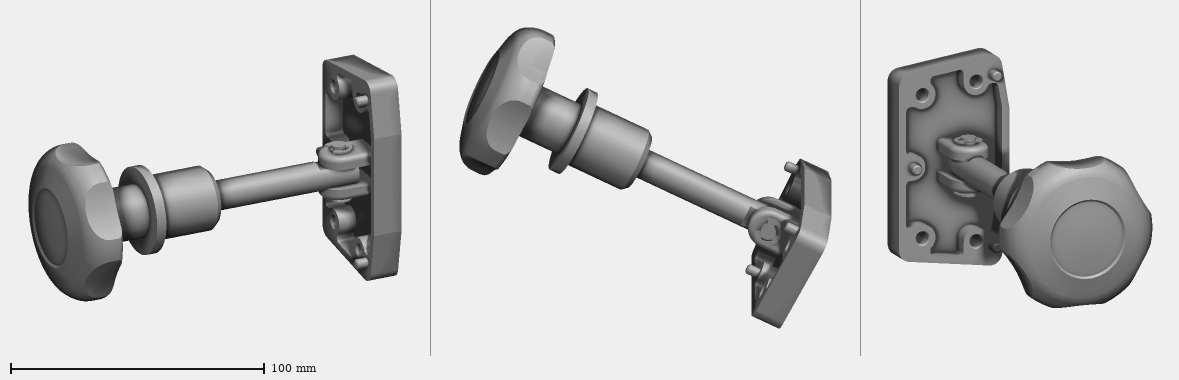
import cadquery as cq
import math


plate_thickness = 12.0
plate_left = -27.0
plate_right = 20.0
left_corner_z = 37.5
upper_corner_x = 16.1
upper_corner_z = 43.5
right_edge_half_height = 20.9
plate_corner_radius = 5.0

pocket_depth = 7.5
rim_width = 3.0
pocket_corner_radius = 1.7
left_land_z = 24.8
left_land_x = -13.6
right_land_z = 31.3

left_hole = (-17.0, 29.1)
right_hole = (6.0, 32.5)
hole_diameter = 5.2
hole_chamfer = 0.5
left_boss_radius = 5.5
right_boss_radius = 5.4

middle_stud = (-21.0, 0)
right_stud_x = 13.0
right_stud_z = 35.0
stud_diameter = 4.0
stud_length = 5.0
stud_chamfer = 0.6
stud_boss_radius = 5.2

pivot_y = -18.1
lug_radius = 8.0
lug_inner_z = 4.2
lug_outer_z = 9.3
lug_fillet = 2.0

pin_radius = 6.2 / 2
pin_top = 12.2
pin_bottom = -11.7
neck_radius = 2.3
clip_thickness = 0.6
clip_z = 10.6
clip_outer_radius = 5.7
clip_inner_radius = 4.2
clip_tab_width = 2.8
clip_side_tab_angle = 48
clip_turns = {clip_z: 0, -clip_z: 20}

rod_radius = 12.0 / 2
rod_end_y = -11.6
rod_flat_end_y = -28.1
shaft_radius = 10.9
collar_radius = 13.0
collar_y = -125.0
knob_back_y = -126.9
knob_radius = 31.5
knob_back_fillet = 2.6
knob_rim_end_y = -132.5
knob_shoulder_radius = 10.0
crown_radius = 24.6
recess_radius = 16.1
recess_rim_y = -144.5
dome_radius = 15.2
dome_edge_y = -143.8
knob_front_y = -145.0
scallop_count = 6
scallop_radius = 46.4
scallop_floor = 27.8

sleeve_radius = 13.0
sleeve_start_y = -74.8
sleeve_chamfer_length = 2.3
sleeve_chamfer_depth = 1.9
flange_radius = 35.5 / 2
flange_start_y = -102.1
washer_start_y = -104.3
washer_end_y = -106.1


def facing_front(y):
    """Workplane at depth y whose extrusions run towards -Y."""
    return cq.Workplane("XZ", origin=(0, y, 0))


def disc(point, radius, start_y, length):
    return facing_front(start_y).center(*point).circle(radius).extrude(length)


def block(x_range, z_range, start_y, length):
    width = x_range[1] - x_range[0]
    height = z_range[1] - z_range[0]
    return (
        facing_front(start_y)
        .center(sum(x_range) / 2, sum(z_range) / 2)
        .rect(width, height)
        .extrude(length)
    )


def mirrored_about_z(body):
    return body.union(body.mirror("XY"))


def make_plate_outline(start_y):
    return (
        facing_front(start_y)
        .polyline([
            (plate_left, -left_corner_z),
            (upper_corner_x, -upper_corner_z),
            (plate_right, -right_edge_half_height),
            (plate_right, right_edge_half_height),
            (upper_corner_x, upper_corner_z),
            (plate_left, left_corner_z),
        ])
        .close()
    )


def make_pocket():
    floor_y = pocket_depth - plate_thickness
    pocket = make_plate_outline(floor_y).offset2D(-rim_width).extrude(pocket_depth)

    left_limit = (plate_left, left_hole[0])
    lands = [
        disc(left_hole, left_boss_radius, floor_y, pocket_depth),
        block(left_limit, (left_land_z, upper_corner_z), floor_y, pocket_depth),
        block((plate_left, left_land_x), (left_hole[1], upper_corner_z), floor_y, pocket_depth),
        disc(right_hole, right_boss_radius, floor_y, pocket_depth),
        block((right_hole[0] - right_boss_radius, plate_right), (right_hole[1], upper_corner_z),
              floor_y, pocket_depth),
        block((right_hole[0], plate_right), (right_land_z, upper_corner_z), floor_y, pocket_depth),
    ]
    for land in lands:
        pocket = pocket.cut(mirrored_about_z(land))

    stud_land = disc(middle_stud, stud_boss_radius, floor_y, pocket_depth)
    stud_land = stud_land.union(block(
        (plate_left, middle_stud[0]), (-stud_boss_radius, stud_boss_radius), floor_y, pocket_depth))
    return pocket.cut(stud_land).edges("|Y").fillet(pocket_corner_radius)


def make_lug():
    """Upper clevis lug, from the pocket floor to its rounded end."""
    floor_y = pocket_depth - plate_thickness
    return (
        cq.Workplane("XY", origin=(0, 0, lug_inner_z))
        .moveTo(-lug_radius, floor_y)
        .lineTo(-lug_radius, pivot_y)
        .threePointArc((0, pivot_y - lug_radius), (lug_radius, pivot_y))
        .lineTo(lug_radius, floor_y)
        .close()
        .extrude(lug_outer_z - lug_inner_z)
        .faces(">Z").edges("not >Y").fillet(lug_fillet)
    )


def make_stud(point):
    return disc(point, stud_diameter / 2, -plate_thickness, stud_length).faces("<Y").chamfer(stud_chamfer)


def make_plate():
    plate = make_plate_outline(0).extrude(plate_thickness)
    for corner in ("<X", ">Z", "<Z"):
        plate = plate.edges("|Y").edges(corner).fillet(plate_corner_radius)
    plate = plate.cut(make_pocket())

    for x, z in (left_hole, right_hole):
        for side in (1, -1):
            hole = disc((x, side * z), hole_diameter / 2, 0, plate_thickness)
            mouth = (
                facing_front(-plate_thickness).center(x, side * z)
                .circle(hole_diameter / 2 + hole_chamfer)
                .extrude(-hole_chamfer, taper=45)
            )
            plate = plate.cut(hole).cut(mouth)

    for point in (middle_stud, (right_stud_x, right_stud_z), (right_stud_x, -right_stud_z)):
        plate = plate.union(make_stud(point))

    return plate.union(mirrored_about_z(make_lug())).cut(make_pin_cylinder())


def make_pin_cylinder():
    """Plain pin blank, also used to bore the lugs and the rod."""
    return (
        cq.Workplane("XY", origin=(0, pivot_y, pin_bottom))
        .circle(pin_radius)
        .extrude(pin_top - pin_bottom)
    )


def make_pin():
    pin = make_pin_cylinder()
    for z in clip_turns:
        groove = (
            cq.Workplane("XY", origin=(0, pivot_y, z - clip_thickness / 2))
            .circle(pin_radius)
            .circle(neck_radius)
            .extrude(clip_thickness)
        )
        pin = pin.cut(groove)
    return pin


def make_clip(z, turn):
    """E-shaped clip: an open ring with three tabs that seat in the pin's groove."""
    def at_angle(radius, degrees):
        angle = math.radians(degrees)
        return (radius * math.cos(angle), radius * math.sin(angle))

    plane = cq.Workplane("XY")
    right_end = -clip_side_tab_angle
    left_end = 180 + clip_side_tab_angle
    ring = (
        plane.moveTo(*at_angle(clip_inner_radius, right_end))
        .lineTo(*at_angle(clip_outer_radius, right_end))
        .threePointArc((0, clip_outer_radius), at_angle(clip_outer_radius, left_end))
        .lineTo(*at_angle(clip_inner_radius, left_end))
        .threePointArc((0, clip_inner_radius), at_angle(clip_inner_radius, right_end))
        .close()
        .extrude(clip_thickness)
    )
    top_tab = plane.center(0, clip_inner_radius / 2).rect(clip_tab_width, clip_inner_radius)
    clip = ring.union(top_tab.extrude(clip_thickness))
    for start in (right_end, 180):
        end = start + clip_side_tab_angle
        side_tab = (
            plane.lineTo(*at_angle(clip_inner_radius, start))
            .threePointArc(at_angle(clip_inner_radius, (start + end) / 2), at_angle(clip_inner_radius, end))
            .close()
            .extrude(clip_thickness)
        )
        clip = clip.union(side_tab)
    clip = clip.cut(plane.circle(neck_radius).extrude(clip_thickness))
    return clip.rotate((0, 0, 0), (0, 0, 1), turn).translate((0, pivot_y, z - clip_thickness / 2))


def make_handle():
    crown_start_y = knob_rim_end_y - math.sqrt(
        knob_shoulder_radius**2 - (crown_radius - knob_radius + knob_shoulder_radius)**2)
    shoulder_center_x = knob_radius - knob_shoulder_radius
    diagonal = knob_shoulder_radius * math.sqrt(0.5)
    shoulder_middle = (shoulder_center_x + diagonal, knob_rim_end_y - diagonal)
    fillet_middle = knob_back_fillet * (1 - math.sqrt(0.5))
    dome_height = dome_edge_y - knob_front_y
    dome_sphere = (dome_radius**2 + dome_height**2) / (2 * dome_height)
    dome_middle_x = dome_radius / 2
    dome_middle_y = knob_front_y + dome_sphere - math.sqrt(dome_sphere**2 - dome_middle_x**2)

    handle = (
        cq.Workplane("XY")
        .moveTo(0, rod_end_y)
        .lineTo(rod_radius, rod_end_y)
        .lineTo(rod_radius, washer_end_y)
        .lineTo(shaft_radius, washer_end_y)
        .lineTo(shaft_radius, collar_y)
        .lineTo(collar_radius, collar_y)
        .lineTo(collar_radius, knob_back_y)
        .lineTo(knob_radius - knob_back_fillet, knob_back_y)
        .threePointArc((knob_radius - fillet_middle, knob_back_y - fillet_middle),
                       (knob_radius, knob_back_y - knob_back_fillet))
        .lineTo(knob_radius, knob_rim_end_y)
        .threePointArc(shoulder_middle, (crown_radius, crown_start_y))
        .lineTo(recess_radius, recess_rim_y)
        .lineTo(dome_radius, dome_edge_y)
        .threePointArc((dome_middle_x, dome_middle_y), (0, knob_front_y))
        .close()
        .revolve(360, (0, 0, 0), (0, 1, 0))
    )

    scallop = disc((0, scallop_floor + scallop_radius), scallop_radius, knob_back_y,
                   knob_back_y - knob_front_y)
    for i in range(scallop_count):
        angle = i * 360 / scallop_count
        handle = handle.cut(scallop.rotate((0, 0, 0), (0, 1, 0), angle))

    flat_cut = block((-rod_radius, rod_radius), (lug_inner_z, rod_radius), rod_end_y,
                     rod_end_y - rod_flat_end_y)
    return handle.cut(mirrored_about_z(flat_cut)).cut(make_pin_cylinder())


def make_sleeve():
    return (
        cq.Workplane("XY")
        .moveTo(rod_radius, sleeve_start_y)
        .lineTo(sleeve_radius - sleeve_chamfer_depth, sleeve_start_y)
        .lineTo(sleeve_radius, sleeve_start_y - sleeve_chamfer_length)
        .lineTo(sleeve_radius, flange_start_y)
        .lineTo(flange_radius, flange_start_y)
        .lineTo(flange_radius, washer_start_y)
        .lineTo(rod_radius, washer_start_y)
        .close()
        .revolve(360, (0, 0, 0), (0, 1, 0))
    )


def make_washer():
    return (
        facing_front(washer_start_y)
        .circle(flange_radius)
        .circle(rod_radius)
        .extrude(washer_start_y - washer_end_y)
    )


plate = make_plate()
pin = make_pin()
clips = [make_clip(z, turn) for z, turn in clip_turns.items()]
handle = make_handle()
sleeve = make_sleeve()
washer = make_washer()

bodies = [plate, pin, *clips, handle, sleeve, washer]
result = cq.Compound.makeCompound([body.solids().val() for body in bodies])